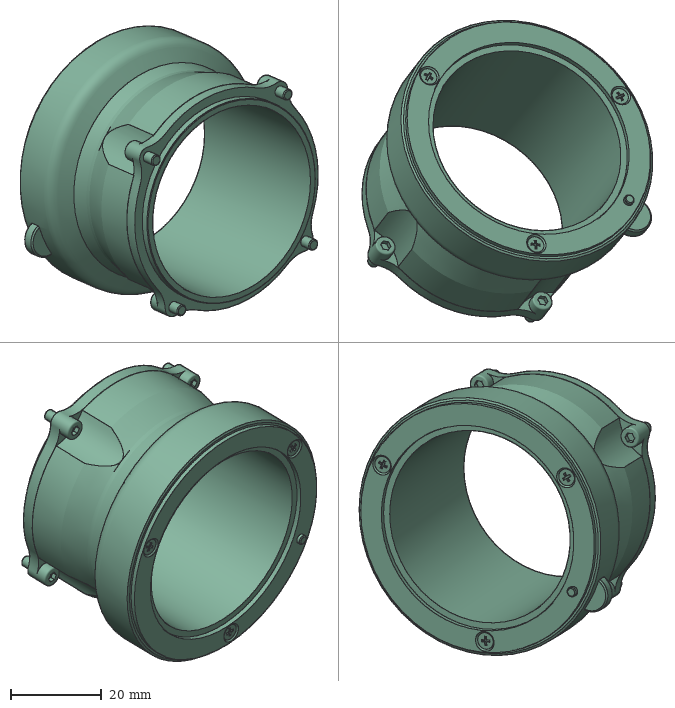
import cadquery as cq
import math


bore_radius = 44.0 / 2
front_recess_radius = 47.0 / 2
front_plate_radius = 57.0 / 2
rim_face_radius = 58.0 / 2
rim_radius = 59.0 / 2
waist_radius = 47.9 / 2
body_radius = 25.65
flange_radius = 25.6
spigot_radius = 47.0 / 2
neck_cone_radius = 24.85

front_recess_depth = 1.2
plate_back = 1.0
rim_start = 1.25
rim_end = 9.9
neck_cone_start = 14.55
waist_start = 18.05
waist_end = 19.05
body_start = 25.6
flange_start = 34.6
flange_end = 37.4
spigot_end = 39.25
spigot_chamfer = 0.2

shoulder_angle = math.radians(60)
shoulder_radius = 3.3

flange_screw_circle = 26.5
flange_screw_angles = [56 + 90 * i for i in range(4)]
lobe_radius = 2.25
lobe_blend_radius = 8.35
scallop_radius = 10.3
screw_head_radius = 4.5 / 2
screw_head_length = 2.7
screw_head_round = 0.35
screw_shank_radius = 2.5 / 2
screw_tip = 40.5
screw_tip_chamfer = 0.25
socket_across_flats = 2.0
socket_depth = 1.15

front_circle = 25.95
front_screw_angles = [26.1 + 120 * i for i in range(3)]
pin_angle = 26.1 + 180
countersink_radius = 4.5 / 2
front_head_radius = 3.8 / 2
cross_length = 2.0
cross_width = 0.5
cross_depth = 0.6
pin_radius = 2.2 / 2
pin_height = 1.0
pin_chamfer = 0.25
disc_radius = 4.2
disc_circle = 28.75
disc_start = 3.3
disc_thickness = 2.9
disc_chamfer = 0.35


def plane_at(x):
    """Workplane across the axis: local x is +Y, local y is +Z, normal is +X."""
    return cq.Workplane("YZ", origin=(x, 0, 0))


def polar(radius, angle):
    return (radius * math.cos(math.radians(angle)), radius * math.sin(math.radians(angle)))


def cylinder(x_start, x_end, radius, center=(0, 0)):
    return plane_at(x_start).center(*center).circle(radius).extrude(x_end - x_start)


def make_sleeve():
    def on_shoulder(turn):
        return (
            rim_end + shoulder_radius * math.sin(turn),
            rim_radius - shoulder_radius * (1 - math.cos(turn)),
        )

    profile = (
        cq.Workplane("XY")
        .moveTo(0, front_recess_radius)
        .lineTo(0, front_plate_radius)
        .lineTo(plate_back, front_plate_radius)
        .lineTo(plate_back, rim_face_radius)
        .lineTo(rim_start, rim_radius)
        .lineTo(rim_end, rim_radius)
        .threePointArc(on_shoulder(shoulder_angle / 2), on_shoulder(shoulder_angle))
        .lineTo(neck_cone_start, neck_cone_radius)
        .lineTo(waist_start, waist_radius)
        .lineTo(waist_end, waist_radius)
        .lineTo(body_start, body_radius)
        .lineTo(flange_start, body_radius)
        .lineTo(flange_start, flange_radius)
        .lineTo(flange_end, flange_radius)
        .lineTo(flange_end, spigot_radius)
        .lineTo(spigot_end - spigot_chamfer, spigot_radius)
        .lineTo(spigot_end, spigot_radius - spigot_chamfer)
        .lineTo(spigot_end, bore_radius)
        .lineTo(front_recess_depth, bore_radius)
        .lineTo(front_recess_depth, front_recess_radius)
        .close()
    )
    return profile.revolve(360, (0, 0, 0), (1, 0, 0))


def make_scallop(angle):
    """Cylinder parallel to X that just touches the waist."""
    center = polar(waist_radius + scallop_radius, angle)
    return cylinder(waist_start, flange_start, scallop_radius, center)


def make_lobe(angle):
    """Flange ear around one screw, blended into the flange rim by concave arcs."""
    blend_circle = flange_radius + lobe_blend_radius
    blend_reach = lobe_radius + lobe_blend_radius
    squares = blend_circle**2 + flange_screw_circle**2 - blend_reach**2
    spread = math.degrees(math.acos(squares / (2 * blend_circle * flange_screw_circle)))
    screw = polar(flange_screw_circle, angle)

    def towards(start, end, distance):
        length = math.dist(start, end)
        return tuple(s + (e - s) * distance / length for s, e in zip(start, end))

    def blend_points(side):
        """Rim tangent point, a point midway on the blend, and lobe tangent point."""
        center = polar(blend_circle, angle + side * spread)
        on_rim = towards(center, (0, 0), lobe_blend_radius)
        on_lobe = towards(center, screw, lobe_blend_radius)
        chord_middle = tuple((a + b) / 2 for a, b in zip(on_rim, on_lobe))
        return on_rim, towards(center, chord_middle, lobe_blend_radius), on_lobe

    rim_a, middle_a, lobe_a = blend_points(-1)
    rim_b, middle_b, lobe_b = blend_points(1)
    root_radius = (bore_radius + spigot_radius) / 2
    return (
        plane_at(flange_start)
        .moveTo(*polar(root_radius, angle - spread))
        .lineTo(*rim_a)
        .threePointArc(middle_a, lobe_a)
        .threePointArc(polar(flange_screw_circle + lobe_radius, angle), lobe_b)
        .threePointArc(middle_b, rim_b)
        .lineTo(*polar(root_radius, angle + spread))
        .close()
        .extrude(flange_end - flange_start)
    )


def make_flange_screw(angle):
    center = polar(flange_screw_circle, angle)
    head_front = flange_start - screw_head_length
    head = cylinder(head_front, flange_start, screw_head_radius, center)
    head = head.faces("<X").edges().fillet(screw_head_round)
    socket_across_corners = socket_across_flats / math.cos(math.radians(30))
    socket = plane_at(head_front).center(*center).polygon(6, socket_across_corners).extrude(socket_depth)
    shank = cylinder(flange_start, screw_tip, screw_shank_radius, center)
    shank = shank.faces(">X").chamfer(screw_tip_chamfer)
    return head.cut(socket).union(shank)


def make_front_screw_recess(angle):
    """Countersink rim, flat head face and cross slot of one front screw, one arm of it radial."""
    center = polar(front_circle, angle)
    head_depth = countersink_radius - front_head_radius
    countersink = (
        plane_at(0)
        .center(*center)
        .circle(countersink_radius)
        .workplane(offset=head_depth)
        .circle(front_head_radius)
        .loft()
    )
    slot_plane = plane_at(head_depth).center(*center).transformed(rotate=(0, 0, angle))
    radial_arm = slot_plane.rect(cross_length, cross_width).extrude(cross_depth)
    tangent_arm = slot_plane.rect(cross_width, cross_length).extrude(cross_depth)
    return countersink.union(radial_arm).union(tangent_arm)


def make_pin():
    pin = cylinder(-pin_height, plate_back, pin_radius, polar(front_circle, pin_angle))
    return pin.faces("<X").chamfer(pin_chamfer)


def make_thumb_disc():
    center = polar(disc_circle, pin_angle)
    disc = cylinder(disc_start, disc_start + disc_thickness, disc_radius, center)
    return disc.faces("<X or >X").chamfer(disc_chamfer)


result = make_sleeve()
for screw_angle in flange_screw_angles:
    result = result.cut(make_scallop(screw_angle))
for screw_angle in flange_screw_angles:
    result = result.union(make_lobe(screw_angle)).union(make_flange_screw(screw_angle))
for screw_angle in front_screw_angles:
    result = result.cut(make_front_screw_recess(screw_angle))
result = result.union(make_pin()).union(make_thumb_disc())